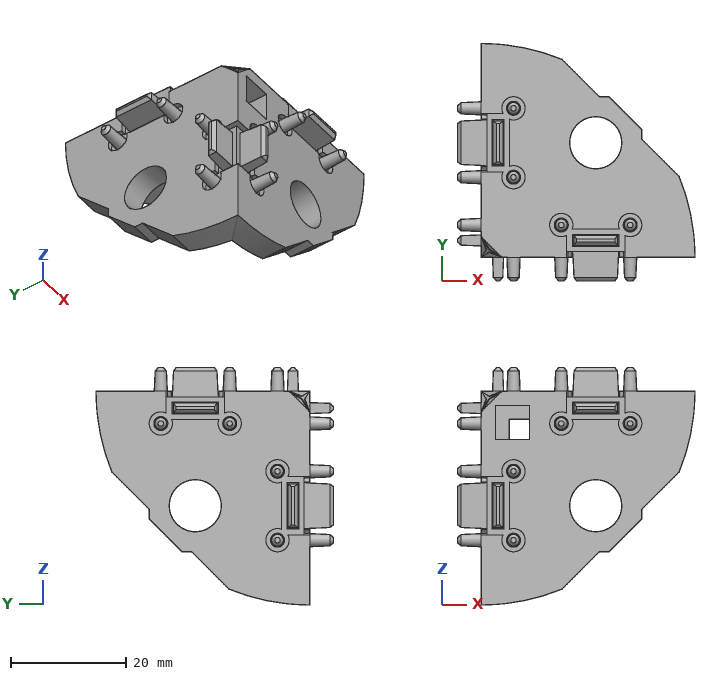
import cadquery as cq
import math

overall = 41.2
stand_off = 4.1
radius = overall - stand_off
thickness = 4.9

middle = 19.85
hole_diameter = 9.0
rim_cut = 48.33
bulge_cut = 50.0
bulge_side = 27.85

recess_depth = 1.0
recess_length = 10.1
recess_width = 4.9
counterbore_diameter = 4.05
peg_spacing = 11.95
peg_inset = 5.6
key_inset = 2.93

tip_height = 0.65
peg_base_diameter = 2.45
peg_shoulder_diameter = 2.0
peg_tip_diameter = 0.95
key_base = (2.0, 8.0)
key_shoulder = (1.7, 7.6)
key_tip = (0.5, 6.65)

window_inset = 2.47
window_side = 5.9
corner_cut = 3.55
star_inner_radius = 0.39
star_depth = 0.12

floor = -recess_depth
shoulder = stand_off - tip_height


def plate_outline():
    """Outline of one plate in XY, symmetric about the line x = y."""
    offset = math.sqrt(2 * radius**2 - rim_cut**2)
    far = (rim_cut + offset) / 2
    near = (rim_cut - offset) / 2
    half_angle = math.atan2(near, far) / 2
    arc_far = radius * math.cos(half_angle)
    arc_near = radius * math.sin(half_angle)
    step_start = rim_cut - bulge_side
    step_end = bulge_cut - bulge_side
    return (
        cq.Workplane("XY")
        .moveTo(0, 0)
        .lineTo(radius, 0)
        .threePointArc((arc_far, arc_near), (far, near))
        .lineTo(bulge_side, step_start)
        .lineTo(bulge_side, step_end)
        .lineTo(step_end, bulge_side)
        .lineTo(step_start, bulge_side)
        .lineTo(near, far)
        .threePointArc((arc_near, arc_far), (0, radius))
        .close()
    )


def mitred_plate():
    """Plate below Z = 0, mitred at 45 degrees along X = 0 and Y = 0, with its hole."""
    plate = plate_outline().extrude(-thickness)
    wedge = [(0, 0), (radius, 0), (radius, -radius)]
    mitre_x = cq.Workplane("XZ").polyline(wedge).close().extrude(-radius)
    mitre_y = cq.Workplane("YZ").polyline(wedge).close().extrude(radius)
    hole = cq.Workplane("XY").center(middle, middle).circle(hole_diameter / 2).extrude(-thickness)
    return plate.intersect(mitre_x).intersect(mitre_y).cut(hole)


def peg_points():
    """Centres of the two pegs beside the key along X = 0."""
    return [(peg_inset, middle - peg_spacing / 2), (peg_inset, middle + peg_spacing / 2)]


def recess():
    """Key recess along X = 0, merged with the counterbores around its pegs."""
    pocket = (
        cq.Workplane("XY")
        .box(recess_width, recess_length, recess_depth, centered=(False, True, False))
        .translate((0, middle, floor))
    )
    counterbores = (
        cq.Workplane("XY").pushPoints(peg_points()).circle(counterbore_diameter / 2).extrude(floor)
    )
    return pocket.union(counterbores)


def peg():
    """Tapered round peg standing on the recess floor."""
    return (
        cq.Workplane("XZ")
        .polyline([
            (0, floor),
            (peg_base_diameter / 2, floor),
            (peg_shoulder_diameter / 2, shoulder),
            (peg_tip_diameter / 2, stand_off),
            (0, stand_off),
        ])
        .close()
        .revolve(360, (0, 0, 0), (0, 1, 0))
    )


def tapered_block(bottom, bottom_size, top, top_size):
    """Four-sided frustum between two centred rectangles at heights bottom and top."""
    return (
        cq.Workplane("XY", origin=(0, 0, bottom))
        .rect(*bottom_size)
        .workplane(offset=top - bottom)
        .rect(*top_size)
        .loft(ruled=True)
    )


def key():
    """Tapered flat key standing on the recess floor."""
    shank = tapered_block(floor, key_base, shoulder, key_shoulder)
    tip = tapered_block(shoulder, key_shoulder, stand_off, key_tip)
    return shank.union(tip)


def connectors():
    """One key and its two pegs along X = 0."""
    group = key().translate((key_inset, middle, 0))
    for x, y in peg_points():
        group = group.union(peg().translate((x, y, 0)))
    return group


def swap_xy(shape):
    """Mirror across the plane x = y."""
    return shape.mirror("YZ").rotate((0, 0, 0), (0, 0, 1), -90)


def on_three_faces(shape):
    """The shape repeated around the body diagonal that maps each plate to the next."""
    turned = [shape.rotate((0, 0, 0), (1, 1, -1), angle) for angle in (120, 240)]
    return shape.union(turned[0]).union(turned[1])


recesses = recess().union(swap_xy(recess()))
fittings = connectors().union(swap_xy(connectors()))

window = (
    cq.Workplane("XY")
    .box(window_side, thickness, window_side, centered=False)
    .translate((window_inset, 0, -window_inset - window_side))
)

corner_plane = cq.Plane(
    origin=(corner_cut / 3, corner_cut / 3, -corner_cut / 3), xDir=(2, -1, 1), normal=(-1, -1, 1)
)


def star_outline():
    """Three-pointed star whose points are the corners of the cut-off triangle."""
    outer_radius = corner_cut * math.sqrt(2 / 3)
    points = []
    for index in range(6):
        reach = star_inner_radius if index % 2 else outer_radius
        angle = math.radians(60 * index)
        points.append((reach * math.cos(angle), reach * math.sin(angle)))
    return cq.Workplane(corner_plane).polyline(points).close()


corner = cq.Workplane(corner_plane).circle(corner_cut).extrude(corner_cut)
star_groove = star_outline().extrude(-star_depth)

result = on_three_faces(mitred_plate()).cut(on_three_faces(recesses))
result = result.union(on_three_faces(fittings)).cut(window).cut(corner).cut(star_groove)